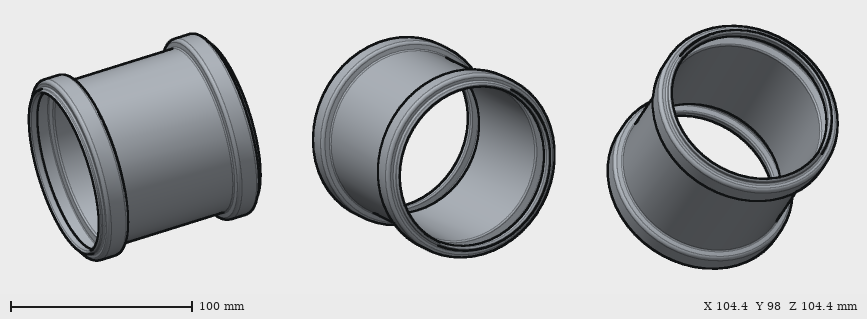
import cadquery as cq
import math

length = 98.0
wall = 2.1
tube_radius = 47.3
rim_radius = 47.5
bead_radius = 52.2

bead_start = 2.9
bead_shoulder = 15.6
bead_root = 16.5

lip_round = 0.99
collar_fillet = 1.0
crown_fillet = 2.1
root_fillet = 0.8
groove_fillet = 0.5
mouth_fillet = 0.9
bore_fillet = 1.0

half = length / 2


def corner_arc(before, corner, after, radius):
    """Start, middle and end of the fillet arc at a corner between two straight sides."""
    side_in = (cq.Vector(*before) - cq.Vector(*corner)).normalized()
    side_out = (cq.Vector(*after) - cq.Vector(*corner)).normalized()
    half_angle = side_in.getAngle(side_out) / 2
    setback = radius / math.tan(half_angle)
    bisector = (side_in + side_out).normalized()
    vertex = cq.Vector(*corner)
    middle = vertex + bisector * (radius / math.sin(half_angle) - radius)
    return vertex + side_in * setback, middle, vertex + side_out * setback


def revolved(end_corners):
    """Solid of revolution about Y; corners (distance from end, radius, fillet), mirrored at mid-length."""
    left = [(r, -half + d, fillet) for d, r, fillet in end_corners]
    right = [(r, -y, fillet) for r, y, fillet in reversed(left)]
    corners = [(0, -half, 0)] + left + right + [(0, half, 0)]
    profile = cq.Workplane("XY").moveTo(0, -half)
    for before, corner, after in zip(corners, corners[1:], corners[2:]):
        if corner[2] == 0:
            profile = profile.lineTo(*corner[:2])
        else:
            start, middle, end = corner_arc(before[:2], corner[:2], after[:2], corner[2])
            profile = profile.lineTo(start.x, start.y).threePointArc(middle.toTuple()[:2], end.toTuple()[:2])
    return profile.lineTo(0, half).close().revolve(360, (0, 0), (0, 1))


outside = revolved([
    (0, rim_radius, lip_round),
    (bead_start, rim_radius, collar_fillet),
    (bead_start, bead_radius, crown_fillet),
    (bead_shoulder, bead_radius, crown_fillet),
    (bead_root, tube_radius, root_fillet),
])

inside = revolved([
    (0, rim_radius - wall, 0),
    (bead_start + wall, rim_radius - wall, mouth_fillet),
    (bead_start + wall, bead_radius - wall, groove_fillet),
    (bead_shoulder - wall, bead_radius - wall, groove_fillet),
    (bead_root - wall, tube_radius - wall, bore_fillet),
])

result = outside.cut(inside)

result = result.faces("<Y or >Y").edges(cq.selectors.RadiusNthSelector(0)).fillet(lip_round)